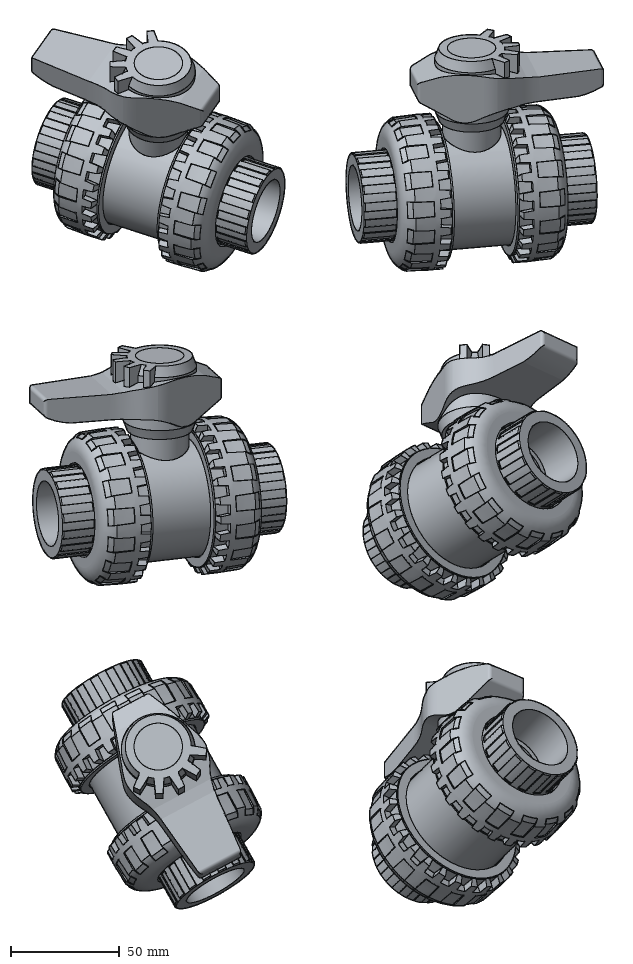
import cadquery as cq
import math


BARREL_DIA = 55.0
BORE_DIA = 25.0
SOCKET_DIA = 30.3
SOCKET_DEPTH = 21.8
TAIL_DIA = 42.0
TAIL_END = 54.8
TAIL_GROOVE_DEPTH = 0.6
TAIL_RIB_COUNT = 16
NECK_DIA = 27.0
NECK_TOP = 34.9

NUT_DIA = 72.0
NUT_INNER_END = 14.9
NUT_OUTER_END = 39.5
NUT_WALL = 5.7
NUT_SEAT = NUT_OUTER_END - NUT_WALL
NUT_MOUTH_DIA = 43.7
NUT_BORE_DIA = 55.9
NUT_FACE_DIA = 54.0
NUT_SHOULDER_RADIUS = 35.6
NUT_SHOULDER_LENGTH = 5.9
NUT_SHOULDER_ARC_RADIUS = 9.2
NUT_RIDGE = 23.9
SLEEVE_DIA = 65.0

GRIP_COUNT = 16
GRIP_START = 24.8
GRIP_BEND = 34.5
GRIP_END = 37.0
GRIP_START_RADIUS = 35.4
GRIP_BEND_RADIUS = 34.7
GRIP_END_RADIUS = 33.2
GRIP_START_WIDTH = 7.1
GRIP_END_WIDTH = 7.8

SLOT_COUNT = 25
SLOT_START = 21.8
TOOTH_ROOT_END = 15.7
TOOTH_TIP_END = 17.1
SLOT_FLOOR_DIA = 65.2
SLOT_CLOSED_WIDTH = 4.5
SLOT_OPEN_WIDTH = 6.0

HUB_DIA = 34.0
HUB_END_DIA = 30.3
HUB_CONE = 4.9
OVERALL_HEIGHT = 106.5
HANDLE_TOP = OVERALL_HEIGHT - NUT_DIA / 2
LEVER_TIP = -60.0
LEVER_HEEL = 27.1
LEVER_TOP = 59.5
LEVER_BOTTOM = 47.1
TIP_FILLET = 1.7
HEEL_FILLET = 1.8
TIP_HALF_WIDTH = 10.9
HEEL_HALF_WIDTH = 9.4
GRIP_ROOT = (-29.6, 14.0)
FLARE_MIDDLE = (-23.0, 15.3)
FLARE_END = (-17.0, 17.8)
BULGE_FRONT = (-12.6, 19.6)
BULGE_PEAK = (-8.0, 20.5)
BULGE_BACK = (-4.8, 20.3)
BULGE_END = (-1.8, 19.5)
TIP_UNDERSIDE = 51.0
HEEL_TOP = 59.4
HEEL_UNDERSIDE = 49.9
RAMP_START = -28.6
RAMP_END = (-22.8, 60.2)
CROWN_FRONT = (-8.2, 63.4)
CROWN_PEAK = (6.0, 64.6)
CROWN_END = (17.0, 63.1)
BELLY_BACK = (13.8, 42.7)
BELLY_LOWEST = (8.0, 40.6)
BELLY_FRONT = (2.0, 41.9)
THROAT_LOW = (-1.6, 43.9)
THROAT_MIDDLE = (-6.4, 45.9)
THROAT_END = -12.5
UNDERSIDE_BEND = -47.8
UNDERSIDE_MIDDLE = (-53.5, 48.2)

TOOTH_COUNT = 5
TOOTH_PITCH = 27.4
TOOTH_TIP_RADIUS = 22.3
TOOTH_TIP_WIDTH = 3.3
TOOTH_ROOT_WIDTH = 4.6
TOOTH_BOTTOM = 57.4

CAP_DIA = 22.3
CAP_DEPTH = 2.3


def cylinder_x(diameter, start, end):
    return cq.Workplane("YZ").workplane(offset=start).circle(diameter / 2).extrude(end - start)


def cylinder_z(diameter, bottom, top):
    return cq.Workplane("XY").workplane(offset=bottom).circle(diameter / 2).extrude(top - bottom)


def revolve_about_x(profile):
    return profile.close().revolve(360, (0, 0, 0), (1, 0, 0))


def make_tail():
    """Pipe tail at +X: plain inside the nut, ribbed outside it, ribs chamfered to the core at the end."""
    core_dia = TAIL_DIA - 2 * TAIL_GROOVE_DEPTH
    core = cylinder_x(core_dia, 0, TAIL_END)
    ribs = cylinder_x(TAIL_DIA, 0, TAIL_END).faces(">X").chamfer(TAIL_GROOVE_DEPTH)
    pitch = 360 / TAIL_RIB_COUNT
    reach = TAIL_DIA
    half_angle = math.radians(pitch / 4)
    groove = (
        cq.Workplane("YZ")
        .workplane(offset=NUT_OUTER_END)
        .moveTo(0, 0)
        .lineTo(reach * math.cos(half_angle), reach * math.sin(half_angle))
        .lineTo(reach * math.cos(half_angle), -reach * math.sin(half_angle))
        .close()
        .extrude(TAIL_END - NUT_OUTER_END)
    )
    for i in range(TAIL_RIB_COUNT):
        ribs = ribs.cut(groove.rotate((0, 0, 0), (1, 0, 0), i * pitch))
    return core.union(ribs)


def make_housing():
    housing = cylinder_x(BARREL_DIA, -NUT_SEAT, NUT_SEAT)
    housing = housing.union(cylinder_z(NECK_DIA, 0, NECK_TOP))
    tail = make_tail()
    for turn in (0, 180):
        housing = housing.union(tail.rotate((0, 0, 0), (0, 0, 1), turn))
    housing = housing.cut(cylinder_x(BORE_DIA, -TAIL_END, TAIL_END))
    socket_floor = TAIL_END - SOCKET_DEPTH
    housing = housing.cut(cylinder_x(SOCKET_DIA, socket_floor, TAIL_END))
    return housing.cut(cylinder_x(SOCKET_DIA, -TAIL_END, -socket_floor))


def nut_blank():
    """Turned nut: inner sleeve, toothed flange, ridge, rounded outer shoulder and stepped bore."""
    nut_radius = NUT_DIA / 2
    sleeve_radius = SLEEVE_DIA / 2
    shoulder = (NUT_OUTER_END - NUT_SHOULDER_LENGTH, NUT_SHOULDER_RADIUS)
    profile = (
        cq.Workplane("XY")
        .moveTo(NUT_INNER_END, NUT_BORE_DIA / 2)
        .lineTo(NUT_INNER_END, sleeve_radius)
        .lineTo(TOOTH_ROOT_END, sleeve_radius)
        .lineTo(TOOTH_TIP_END, nut_radius)
        .lineTo(NUT_RIDGE, nut_radius)
        .lineTo(*shoulder)
        .radiusArc((NUT_OUTER_END, NUT_FACE_DIA / 2), NUT_SHOULDER_ARC_RADIUS)
        .lineTo(NUT_OUTER_END, NUT_MOUTH_DIA / 2)
        .lineTo(NUT_SEAT, NUT_MOUTH_DIA / 2)
        .lineTo(NUT_SEAT, NUT_BORE_DIA / 2)
    )
    return revolve_about_x(profile)


def radial_prism(start, start_width, end, end_width):
    """Prism reaching out along +Y, with a trapezoid outline in X and Z."""
    return (
        cq.Workplane("XZ")
        .moveTo(start, -start_width / 2)
        .lineTo(end, -end_width / 2)
        .lineTo(end, end_width / 2)
        .lineTo(start, start_width / 2)
        .close()
        .extrude(-NUT_DIA)
    )


def grip_pocket():
    """Shallow finger pocket whose floor bends down and runs out on the rounded shoulder."""
    ring = revolve_about_x(
        cq.Workplane("XY")
        .moveTo(GRIP_START, GRIP_START_RADIUS)
        .lineTo(GRIP_BEND, GRIP_BEND_RADIUS)
        .lineTo(GRIP_END, GRIP_END_RADIUS)
        .lineTo(GRIP_END, NUT_DIA)
        .lineTo(GRIP_START, NUT_DIA)
    )
    return ring.intersect(radial_prism(GRIP_START, GRIP_START_WIDTH, GRIP_END, GRIP_END_WIDTH))


def tooth_slot():
    """Slot between two flange teeth, widening to the inner end, with a round floor."""
    slot = radial_prism(SLOT_START, SLOT_CLOSED_WIDTH, NUT_INNER_END, SLOT_OPEN_WIDTH)
    return slot.cut(cylinder_x(SLOT_FLOOR_DIA, 0, NUT_OUTER_END))


def make_nut():
    """Nut on the +X tail."""
    nut = nut_blank()
    pocket = grip_pocket()
    for i in range(GRIP_COUNT):
        angle = (i + 0.5) * 360 / GRIP_COUNT
        nut = nut.cut(pocket.rotate((0, 0, 0), (1, 0, 0), angle))
    slot = tooth_slot()
    for i in range(SLOT_COUNT):
        nut = nut.cut(slot.rotate((0, 0, 0), (1, 0, 0), i * 360 / SLOT_COUNT))
    return nut


def make_hub():
    half = HUB_DIA / 2
    end_half = HUB_END_DIA / 2
    return (
        cq.Workplane("XZ")
        .moveTo(0, NECK_TOP)
        .lineTo(end_half, NECK_TOP)
        .lineTo(half, NECK_TOP + HUB_CONE)
        .lineTo(half, HANDLE_TOP - HUB_CONE)
        .lineTo(end_half, HANDLE_TOP)
        .lineTo(0, HANDLE_TOP)
        .close()
        .revolve(360, (0, 0, 0), (0, 1, 0))
    )


def lever_plan():
    """Lever outline seen along Z: one side drawn from tip to heel, then mirrored."""
    half_plan = (
        cq.Workplane("XY")
        .moveTo(LEVER_TIP, 0)
        .lineTo(LEVER_TIP, TIP_HALF_WIDTH)
        .lineTo(*GRIP_ROOT)
        .threePointArc(FLARE_MIDDLE, FLARE_END)
        .threePointArc(BULGE_FRONT, BULGE_PEAK)
        .threePointArc(BULGE_BACK, BULGE_END)
        .lineTo(LEVER_HEEL, HEEL_HALF_WIDTH)
        .lineTo(LEVER_HEEL, 0)
        .close()
        .extrude(HANDLE_TOP)
    )
    return half_plan.union(half_plan.mirror("XZ"))


def lever_side():
    """Lever outline seen along Y: crowned top and a belly below the hub."""
    return (
        cq.Workplane("XZ")
        .moveTo(LEVER_TIP, TIP_UNDERSIDE)
        .lineTo(LEVER_TIP, LEVER_TOP)
        .lineTo(RAMP_START, LEVER_TOP)
        .lineTo(*RAMP_END)
        .spline([CROWN_FRONT, CROWN_PEAK, CROWN_END], includeCurrent=True)
        .lineTo(LEVER_HEEL, HEEL_TOP)
        .lineTo(LEVER_HEEL, HEEL_UNDERSIDE)
        .lineTo(*BELLY_BACK)
        .threePointArc(BELLY_LOWEST, BELLY_FRONT)
        .lineTo(*THROAT_LOW)
        .threePointArc(THROAT_MIDDLE, (THROAT_END, LEVER_BOTTOM))
        .lineTo(UNDERSIDE_BEND, LEVER_BOTTOM)
        .threePointArc(UNDERSIDE_MIDDLE, (LEVER_TIP, TIP_UNDERSIDE))
        .close()
        .extrude(HUB_DIA, both=True)
    )


def make_lever():
    lever = lever_plan().intersect(lever_side())
    lever = lever.faces("<X").edges().fillet(TIP_FILLET)
    return lever.faces(">X").edges().fillet(HEEL_FILLET)


def hub_tooth():
    """Tapered tooth pointing to -X, standing on the lever."""
    root = HUB_END_DIA / 2
    inner = root / 2
    return (
        cq.Workplane("XY")
        .workplane(offset=TOOTH_BOTTOM)
        .moveTo(-inner, -TOOTH_ROOT_WIDTH / 2)
        .lineTo(-root, -TOOTH_ROOT_WIDTH / 2)
        .lineTo(-TOOTH_TIP_RADIUS, -TOOTH_TIP_WIDTH / 2)
        .lineTo(-TOOTH_TIP_RADIUS, TOOTH_TIP_WIDTH / 2)
        .lineTo(-root, TOOTH_ROOT_WIDTH / 2)
        .lineTo(-inner, TOOTH_ROOT_WIDTH / 2)
        .close()
        .extrude(HANDLE_TOP - TOOTH_BOTTOM)
    )


def make_cap():
    return cylinder_z(CAP_DIA, HANDLE_TOP - CAP_DEPTH, HANDLE_TOP)


def make_handle():
    handle = make_hub().union(make_lever())
    tooth = hub_tooth()
    for i in range(TOOTH_COUNT):
        angle = (i - (TOOTH_COUNT - 1) / 2) * TOOTH_PITCH
        handle = handle.union(tooth.rotate((0, 0, 0), (0, 0, 1), angle))
    return handle.cut(make_cap())


housing = make_housing()
handle = make_handle()
cap = make_cap()
nut = make_nut()
nuts = [nut.rotate((0, 0, 0), (0, 0, 1), turn).val() for turn in (0, 180)]

result = cq.Compound.makeCompound([housing.val(), handle.val(), cap.val(), *nuts])